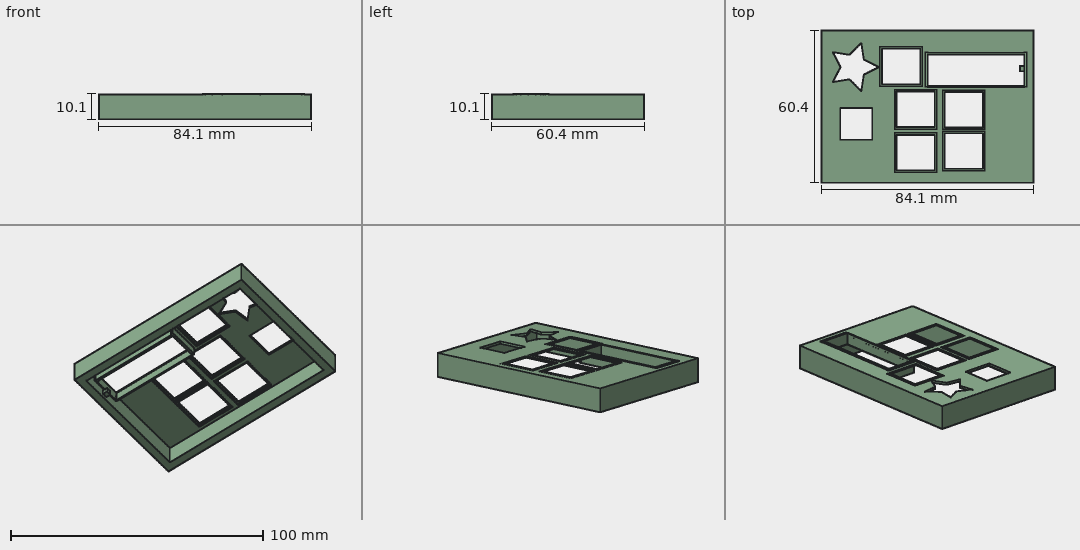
import cadquery as cq
import math

LENGTH = 84.1
WIDTH = 60.4
BODY_HEIGHT = 9.8
WALL = 3.4
PLATE = 1.0
plate_underside = BODY_HEIGHT - PLATE

FRAME_TOP = 10.1
FRAME_BOTTOM = 5.2
WINDOW_LEFT = 42.2
WINDOW_FRONT = 38.35
WINDOW_LENGTH = 38.2
WINDOW_WIDTH = 12.3
END_STRIP = 1.0
BACK_STRIP = 0.9
FRONT_STRIP = 0.5
END_STRIP_OFFSET = 0.25
window_right = WINDOW_LEFT + WINDOW_LENGTH
window_back = WINDOW_FRONT + WINDOW_WIDTH

LEDGE_TIP_X = 78.7
LEDGE_FRONT = 44.15
LEDGE_WIDTH = 2.2
LEDGE_TOP = 4.2
LEDGE_HEIGHT = 2.2

BUTTON_LENGTH = 15.05
BUTTON_WIDTH = 14.0
BUTTON_RIM = 0.3
BUTTON_RECESS_MARGIN = 0.8
LEFT_COLUMN_X = 29.85
RIGHT_COLUMN_X = 48.95
BUTTON_CORNERS = [
    (24.05, 39.1),
    (LEFT_COLUMN_X, 22.1),
    (LEFT_COLUMN_X, 5.0),
    (RIGHT_COLUMN_X, 21.95),
    (RIGHT_COLUMN_X, 5.6),
]

SQUARE_SIDE = 12.5
SQUARE_CORNER = (7.6, 17.1)

STAR_CENTER = (12.7, 45.8)
STAR_TIP_RADIUS = 10.0
STAR_NOTCH_RADIUS = 5.05
STAR_TIPS = 5


def block(x0, x1, y0, y1, z0, z1):
    """Box between two opposite corners."""
    return cq.Workplane("XY", origin=(x0, y0, z0)).box(x1 - x0, y1 - y0, z1 - z0, centered=False)


def plate_opening(corner, length, width):
    """Rectangular cutter through the face plate, given its left front corner."""
    x, y = corner
    return block(x, x + length, y, y + width, plate_underside, FRAME_TOP)


def button_recess(corner):
    """Pocket in the underside of the face plate that leaves a thin rim around a button opening."""
    x, y = corner
    return block(
        x - BUTTON_RECESS_MARGIN,
        x + BUTTON_LENGTH + BUTTON_RECESS_MARGIN,
        y - BUTTON_RECESS_MARGIN,
        y + BUTTON_WIDTH + BUTTON_RECESS_MARGIN,
        plate_underside,
        BODY_HEIGHT - BUTTON_RIM,
    )


def star_opening():
    """Star-shaped cutter through the face plate."""
    points = []
    for i in range(2 * STAR_TIPS):
        radius = STAR_TIP_RADIUS if i % 2 == 0 else STAR_NOTCH_RADIUS
        angle = i * math.pi / STAR_TIPS
        points.append((radius * math.cos(angle), radius * math.sin(angle)))
    plane = cq.Workplane("XY", origin=(*STAR_CENTER, plate_underside))
    return plane.polyline(points).close().extrude(PLATE)


def shell():
    """Side walls and face plate."""
    outside = block(0, LENGTH, 0, WIDTH, 0, BODY_HEIGHT)
    cavity = block(WALL, LENGTH - WALL, WALL, WIDTH - WALL, 0, plate_underside)
    return outside.cut(cavity)


def display_frame():
    """Two end strips joined by a back strip and a thinner front strip."""
    end_front = WINDOW_FRONT - FRONT_STRIP + END_STRIP_OFFSET
    end_back = window_back + BACK_STRIP + END_STRIP_OFFSET
    ends = block(
        WINDOW_LEFT - END_STRIP, window_right + END_STRIP, end_front, end_back, FRAME_BOTTOM, FRAME_TOP
    )
    middle = block(WINDOW_LEFT, window_right, end_front, end_back, FRAME_BOTTOM, FRAME_TOP)
    long_strips = block(
        WINDOW_LEFT,
        window_right,
        WINDOW_FRONT - FRONT_STRIP,
        window_back + BACK_STRIP,
        FRAME_BOTTOM,
        FRAME_TOP,
    )
    return ends.cut(middle).union(long_strips)


def ledge():
    """Square ledge reaching inward from the right wall."""
    return block(
        LEDGE_TIP_X,
        LENGTH - WALL / 2,
        LEDGE_FRONT,
        LEDGE_FRONT + LEDGE_WIDTH,
        LEDGE_TOP - LEDGE_HEIGHT,
        LEDGE_TOP,
    )


window = block(WINDOW_LEFT, window_right, WINDOW_FRONT, window_back, FRAME_BOTTOM, FRAME_TOP)
result = shell().union(display_frame()).cut(window)

for button_corner in BUTTON_CORNERS:
    result = result.cut(button_recess(button_corner))
    result = result.cut(plate_opening(button_corner, BUTTON_LENGTH, BUTTON_WIDTH))
result = result.cut(plate_opening(SQUARE_CORNER, SQUARE_SIDE, SQUARE_SIDE))
result = result.cut(star_opening())

result = result.union(ledge())